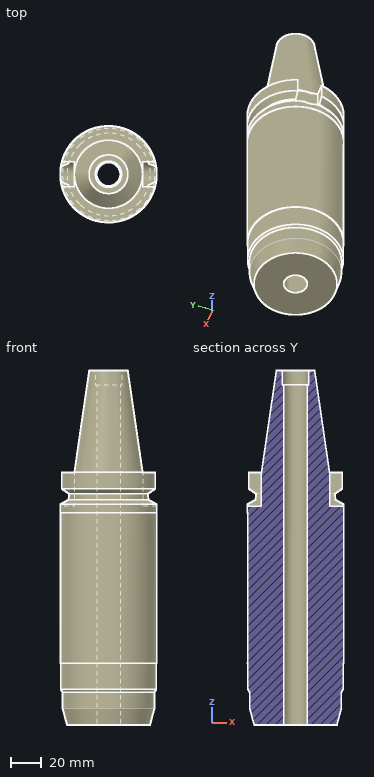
import cadquery as cq

total_height = 230.5
nose_bevel_top = 11.0
nose_top = 21.5
collar_bottom = 23.3
collar_top = 40.0
body_top = 138.0
lower_flange_edge = 143.5
groove_bottom = 146.3
groove_top = 150.2
upper_flange_edge = 153.5
flange_top = 164.0
taper_base = 165.0

nose_end_radius = 27.0
nose_radius = 30.0
collar_radius = 31.0
body_radius = 31.3
flange_radius = 63.0 / 2
groove_radius = 27.0
taper_large_radius = 22.1
taper_small_radius = taper_large_radius - (total_height - taper_base) * 7 / 48

bore_radius = 7.5
mouth_radius = 8.5
mouth_depth = 9.5

slot_width = 16.1
slot_floor = 22.3
slot_bottom = 142.5


def holder_body():
    """Solid of revolution: nose, collar, body, grooved flange and taper."""
    profile = [
        (0, 0),
        (nose_end_radius, 0),
        (nose_radius, nose_bevel_top),
        (nose_radius, nose_top),
        (collar_radius, collar_bottom),
        (collar_radius, collar_top),
        (body_radius, collar_top),
        (body_radius, body_top),
        (flange_radius, body_top),
        (flange_radius, lower_flange_edge),
        (groove_radius, groove_bottom),
        (groove_radius, groove_top),
        (flange_radius, upper_flange_edge),
        (flange_radius, flange_top),
        (taper_large_radius, flange_top),
        (taper_large_radius, taper_base),
        (taper_small_radius, total_height),
        (0, total_height),
    ]
    return cq.Workplane("XZ").polyline(profile).close().revolve(360, (0, 0), (0, 1))


def bore():
    """Through bore with a wider mouth at the small end of the taper."""
    through = cq.Workplane("XY").circle(bore_radius).extrude(total_height)
    mouth = cq.Workplane("XY").workplane(offset=total_height - mouth_depth)
    return through.union(mouth.circle(mouth_radius).extrude(mouth_depth))


def drive_slot(side):
    """Round-bottomed slot, open upward and outward, on the given X side."""
    half_width = slot_width / 2
    arc_center = slot_bottom + half_width
    return (
        cq.Workplane("YZ", origin=(side * slot_floor, 0, 0))
        .moveTo(-half_width, flange_top)
        .lineTo(-half_width, arc_center)
        .threePointArc((0, slot_bottom), (half_width, arc_center))
        .lineTo(half_width, flange_top)
        .close()
        .extrude(side * flange_radius)
    )


result = holder_body().cut(bore())
for side in (-1, 1):
    result = result.cut(drive_slot(side))